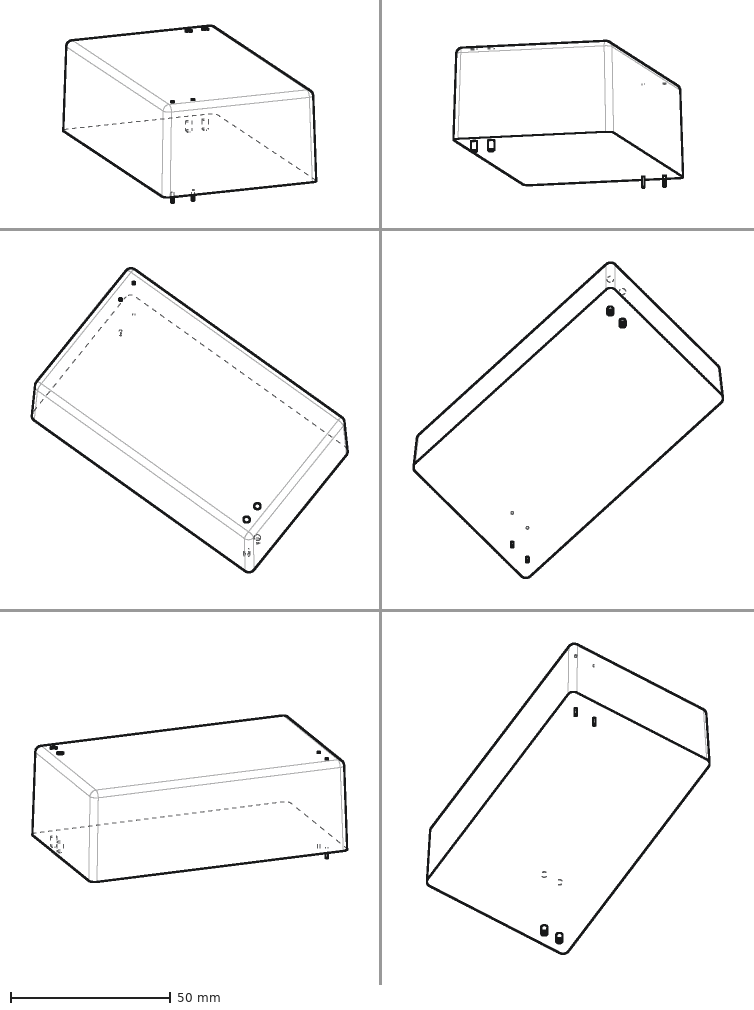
import cadquery as cq

case_length = 87
case_width = 52.0
case_height = 29.5
draft_angle = 1.5
edge_radius = 2.0

overall_height = 33.0
pin_length = overall_height - case_height

output_diameter = 2.0
output_tip_chamfer = 0.5
output_positions = [(-37.85, 20.4), (-37.85, 14.8)]

mains_diameter = 0.9
mains_tip_chamfer = 0.3
mains_positions = [(37.9, -14.1), (37.9, -21.0)]

mark_depth = 0.3


def make_case():
    block = cq.Workplane("XY").rect(case_length, case_width).extrude(case_height, taper=draft_angle)
    rounded_corners = block.edges("not(#Z)").fillet(edge_radius)
    return rounded_corners.faces(">Z").edges().fillet(edge_radius)


def make_pins(positions, diameter, tip_chamfer):
    pins = cq.Workplane("XY").pushPoints(positions).circle(diameter / 2).extrude(-pin_length)
    return pins.faces("<Z").edges().chamfer(tip_chamfer)


def make_marks(positions, diameter):
    top_plane = cq.Workplane("XY").workplane(offset=case_height)
    return top_plane.pushPoints(positions).circle(diameter / 2).extrude(-mark_depth)


result = make_case()

for positions, diameter, tip_chamfer in [
    (output_positions, output_diameter, output_tip_chamfer),
    (mains_positions, mains_diameter, mains_tip_chamfer),
]:
    result = result.union(make_pins(positions, diameter, tip_chamfer))
    result = result.cut(make_marks(positions, diameter))